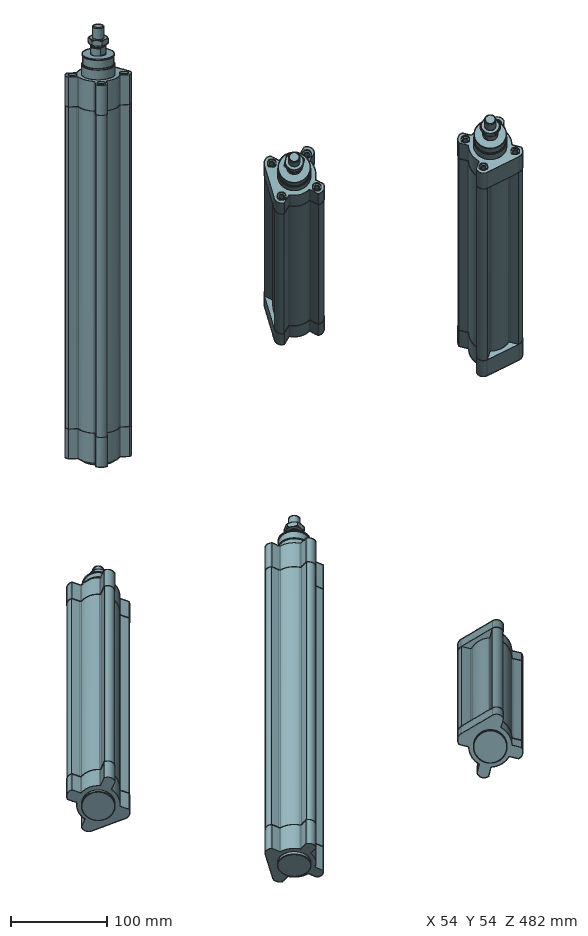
import cadquery as cq
import math

total_height = 482.0
rear_spigot_height = 4.0
cap_length = 33.3
front_cap_top = 428.5
collar_step_level = 439.0
collar_top = 451.0
rod_shoulder_level = 459.5
nut_bottom = 462.5
rear_cap_top = rear_spigot_height + cap_length
front_cap_bottom = front_cap_top - cap_length

screw_pitch = 38.0
screw_offset = screw_pitch / 2
cap_width = 54.0
cap_core_diameter = 45.5
cap_web_half_width = 6.5
cap_web_fillet = 1.0
barrel_width = 53.5
barrel_core_diameter = 45.0
barrel_web_half_width = 6.0
barrel_web_fillet = 1.5

spigot_diameter = 35.0
spigot_chamfer = 0.5
collar_tip_diameter = 33.5
collar_groove_diameter = 33.0
collar_band_height = 1.5

screw_recess_diameter = 9.0
screw_recess_depth = 2.5
countersink_diameter = 6.0
screw_bore_diameter = 4.5
screw_bore_depth = 14.5

rod_diameter = 16.0
rod_across_flats = 13.0
rod_shoulder_chamfer = 0.5
relief_diameter = 11.5
thread_diameter = 12.0
thread_chamfer = 1.0

nut_thickness = 6.5
nut_across_flats = 19.0
nut_across_corners = nut_across_flats / math.cos(math.pi / 6)
nut_chamfer_height = 1.0


def cylinder(diameter, bottom, top):
    return cq.Workplane("XY").workplane(offset=bottom).circle(diameter / 2).extrude(top - bottom)


def lobed_section(width, core_diameter, web_half_width, web_fillet, bottom, top):
    """Round core with four corner lobes, each on a web that runs at 45 degrees to the axes."""
    half_width = width / 2
    web_inset = web_half_width * math.sqrt(2)
    web_end = half_width - web_inset
    arc_middle = screw_offset + (half_width - screw_offset) / math.sqrt(2)
    lobe = (
        cq.Workplane("XY")
        .workplane(offset=bottom)
        .moveTo(web_inset, 0)
        .lineTo(half_width, web_end)
        .lineTo(half_width, screw_offset)
        .threePointArc((arc_middle, arc_middle), (screw_offset, half_width))
        .lineTo(web_end, half_width)
        .lineTo(0, web_inset)
        .close()
        .extrude(top - bottom)
    )
    section = cylinder(core_diameter, bottom, top)
    for quarter in range(4):
        section = section.union(lobe.rotate((0, 0, 0), (0, 0, 1), 90 * quarter))

    core_radius = core_diameter / 2
    within_core = cq.selectors.BoxSelector(
        (-core_radius, -core_radius, bottom), (core_radius, core_radius, top)
    )
    return section.edges("|Z").edges(within_core).fillet(web_fillet)


def make_cap(bottom):
    """End cap: the lobed section, filled to a flat face on the +Y side."""
    section = lobed_section(
        cap_width, cap_core_diameter, cap_web_half_width, cap_web_fillet, bottom, bottom + cap_length
    )
    flat_side = (
        cq.Workplane("XY")
        .workplane(offset=bottom)
        .center(0, cap_width / 4)
        .rect(screw_pitch, cap_width / 2)
        .extrude(cap_length)
    )
    return section.union(flat_side)


def make_collar():
    """Stepped collar whose narrower tip has a shallow groove between two bands."""
    groove_bottom = collar_step_level + collar_band_height
    groove_top = collar_top - collar_band_height
    return (
        cylinder(spigot_diameter, front_cap_top, collar_step_level)
        .union(cylinder(collar_tip_diameter, collar_step_level, groove_bottom))
        .union(cylinder(collar_groove_diameter, groove_bottom, groove_top))
        .union(cylinder(collar_tip_diameter, groove_top, collar_top))
    )


def make_screw_hole():
    """Cutter for one corner: round recess, then a countersunk bore."""
    recess_floor = front_cap_top - screw_recess_depth
    countersink_depth = (countersink_diameter - screw_bore_diameter) / 2
    countersink = (
        cq.Workplane("XY")
        .workplane(offset=recess_floor)
        .circle(countersink_diameter / 2)
        .workplane(offset=-countersink_depth)
        .circle(screw_bore_diameter / 2)
        .loft()
    )
    return (
        cylinder(screw_recess_diameter, recess_floor, front_cap_top)
        .union(cylinder(screw_bore_diameter, front_cap_top - screw_bore_depth, recess_floor))
        .union(countersink)
    )


def make_housing():
    """Barrel with both end caps, the rear spigot, the collar, the screw holes and the rod bore."""
    barrel = lobed_section(
        barrel_width,
        barrel_core_diameter,
        barrel_web_half_width,
        barrel_web_fillet,
        rear_cap_top,
        front_cap_bottom,
    )
    spigot = cylinder(spigot_diameter, 0, rear_spigot_height).faces("<Z").chamfer(spigot_chamfer)
    body = (
        barrel.union(make_cap(rear_spigot_height))
        .union(make_cap(front_cap_bottom))
        .union(spigot)
        .union(make_collar())
    )

    screw_hole = make_screw_hole()
    for x in (-screw_offset, screw_offset):
        for y in (-screw_offset, screw_offset):
            body = body.cut(screw_hole.translate((x, y, 0)))
    return body.cut(cylinder(rod_diameter, front_cap_bottom, collar_top))


def make_rod():
    """Piston rod with two wrench flats facing -X and +X, a thread relief and a plain thread."""
    flats_height = rod_shoulder_level - collar_top
    between_flats = (
        cq.Workplane("XY")
        .workplane(offset=collar_top)
        .rect(rod_across_flats, rod_diameter)
        .extrude(flats_height)
    )
    head = (
        cylinder(rod_diameter, collar_top, rod_shoulder_level)
        .faces(">Z")
        .chamfer(rod_shoulder_chamfer)
        .intersect(between_flats)
    )
    shaft = cylinder(rod_diameter, front_cap_bottom, collar_top)
    relief = cylinder(relief_diameter, rod_shoulder_level, nut_bottom)
    thread = cylinder(thread_diameter, nut_bottom, total_height).faces(">Z").chamfer(thread_chamfer)
    return shaft.union(head).union(relief).union(thread)


def make_nut():
    """Hexagon nut with two flats facing -X and +X and its corners chamfered at both ends."""
    nut_top = nut_bottom + nut_thickness
    hexagon = (
        cq.Workplane("XY")
        .workplane(offset=nut_bottom)
        .polygon(6, nut_across_corners)
        .extrude(nut_thickness)
        .rotate((0, 0, 0), (0, 0, 1), 90)
    )
    chamfer_width = (nut_across_corners - nut_across_flats) / 2
    chamfered_round = (
        cylinder(nut_across_corners, nut_bottom, nut_top)
        .faces("<Z or >Z")
        .chamfer(nut_chamfer_height, chamfer_width)
    )
    return hexagon.intersect(chamfered_round).cut(cylinder(thread_diameter, nut_bottom, nut_top))


housing = make_housing()
rod = make_rod()
nut = make_nut()
result = cq.Compound.makeCompound([housing.solids().val(), rod.solids().val(), nut.solids().val()])